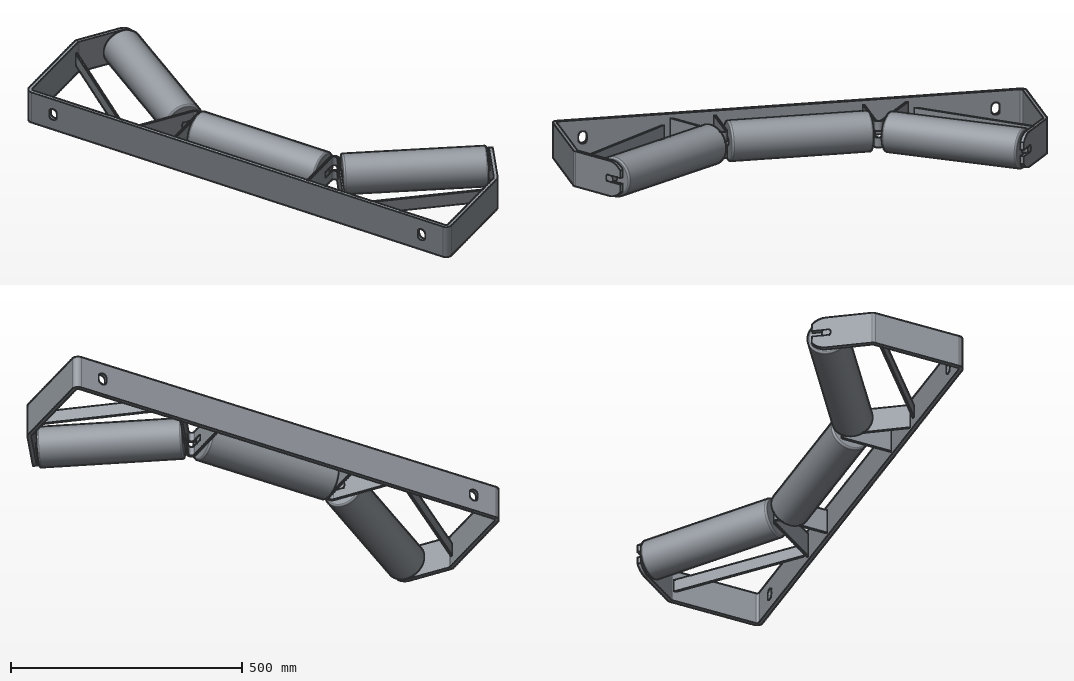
import cadquery as cq
import math

frame_width = 1050.0
bar_height = 80.0
bar_thickness = 8.0
frame_bend_radius = 14.0
shoulder_y = 217.0
bolt_slot_spacing = 916.0
bolt_slot_width = 19.0
bolt_slot_height = 28.0

trough_angle = 35.0
roller_diameter = 89.0
roller_length = 315.0
roller_edge_radius = 4.0
shaft_diameter = 20.0
shaft_flat_width = 15.0
end_gap = 5.0
middle_roller_y = 101.0
shaft_above_shoulder = 104.0
bar_tip_above_shaft = 32.0

bracket_height = 60.0
bracket_thickness = 4.0
bracket_bend_radius = 10.0

brace_thickness = 4.0
brace_height = 30.0
brace_wall_y = 209.0
brace_floor_x = -277.0

half_width = frame_width / 2
inner_half_width = half_width - bar_thickness
tilt = math.radians(trough_angle)
shaft_dir = cq.Vector(math.cos(tilt), -math.sin(tilt))
rise_dir = cq.Vector(math.sin(tilt), math.cos(tilt))
support_distance = roller_length / 2 + end_gap
shoulder = cq.Vector(-half_width, shoulder_y)
wing_end = shoulder + rise_dir * shaft_above_shoulder
wing_center = wing_end + shaft_dir * (bar_thickness + support_distance)
wing_plane = cq.Plane(origin=wing_center, xDir=shaft_dir, normal=(0, 0, 1))
middle_plane = cq.Plane(origin=(0, middle_roller_y, 0), xDir=(1, 0, 0), normal=(0, 0, 1))


def mirrored(body):
    return body.mirror("YZ")


def prism(points, height):
    """Straight-sided plate with the given XY outline, centred on the XY plane."""
    outline = [point.toTuple()[:2] for point in points]
    return cq.Workplane("XY").polyline(outline).close().extrude(height / 2, both=True)


def bent_bar(path, height, thickness, bend_radius):
    """Flat bar whose outer face follows the path; the thickness lies to the right of it."""
    steps = [(end - start).normalized() for start, end in zip(path, path[1:])]
    normals = [cq.Vector(step.y, -step.x) for step in steps]
    inner = [path[0] + normals[0] * thickness]
    for corner, before, after in zip(path[1:], normals, normals[1:]):
        inner.append(corner + (before + after) * (thickness / (1 + before.dot(after))))
    inner.append(path[-1] + normals[-1] * thickness)

    bar = prism(path + inner[::-1], height)
    for outer_corner, inner_corner in zip(path[1:-1], inner[1:-1]):
        outer_edge = cq.NearestToPointSelector(outer_corner.toTuple())
        inner_edge = cq.NearestToPointSelector(inner_corner.toTuple())
        bar = bar.edges(outer_edge).fillet(bend_radius)
        bar = bar.edges(inner_edge).fillet(bend_radius - thickness)
    return bar


def make_shaft(length):
    """Round shaft along X with a flat on its upper and lower side."""
    rod = (
        cq.Workplane("YZ", origin=(-length / 2, 0, 0))
        .circle(shaft_diameter / 2)
        .extrude(length)
    )
    flats = cq.Workplane("XY").box(length, shaft_diameter, shaft_flat_width)
    return rod.intersect(flats)


def shaft_notches(plane):
    """Cutter for the open notches that hold both flatted ends of a roller shaft."""
    length = roller_length + 2 * (end_gap + 2 * bar_thickness)
    depth = roller_diameter / 2
    opening = cq.Workplane("XY").box(length, depth, shaft_flat_width).translate((0, depth / 2, 0))
    return cq.Workplane(make_shaft(length).union(opening).val().moved(plane.location))


def make_roller(plane, left_support, right_support):
    """Roller with its shaft, whose ends finish flush with the far faces of both supports."""
    tube = (
        cq.Workplane("YZ", origin=(-roller_length / 2, 0, 0))
        .circle(roller_diameter / 2)
        .extrude(roller_length)
        .edges()
        .fillet(roller_edge_radius)
    )
    shaft_length = 2 * support_distance + left_support + right_support
    shaft_shift = (right_support - left_support) / 2
    shaft = make_shaft(shaft_length).translate((shaft_shift, 0, 0))
    return cq.Workplane(tube.union(shaft).val().moved(plane.location))


def rounded_tip_waste():
    """Cutter for the bar end beyond a half circle around the left wing shaft."""
    waste = (
        cq.Workplane("XY")
        .box(2 * bar_thickness, bar_height, 2 * bar_height)
        .translate((0, bar_height / 2, 0))
    )
    disc = cq.Workplane("YZ").circle(bar_height / 2).extrude(bar_thickness, both=True)
    bar_middle = wing_end + shaft_dir * (bar_thickness / 2)
    bar_plane = cq.Plane(origin=bar_middle, xDir=shaft_dir, normal=(0, 0, 1))
    return cq.Workplane(waste.cut(disc).val().moved(bar_plane.location))


def make_frame():
    tip = wing_end + rise_dir * bar_tip_above_shaft
    left = [tip, shoulder, cq.Vector(-half_width, 0)]
    right = [cq.Vector(-point.x, point.y) for point in left]
    frame = bent_bar(right + left[::-1], bar_height, bar_thickness, frame_bend_radius)

    for cutter in (shaft_notches(wing_plane), rounded_tip_waste()):
        frame = frame.cut(cutter).cut(mirrored(cutter))

    bolt_slots = (
        cq.Workplane("XZ")
        .pushPoints([(-bolt_slot_spacing / 2, 0), (bolt_slot_spacing / 2, 0)])
        .slot2D(bolt_slot_height, bolt_slot_width, 90)
        .extrude(-bar_thickness)
    )
    return frame.cut(bolt_slots)


def make_bracket():
    """Left bracket: one leg square to the wing shaft, the other upright beside the middle roller."""
    leg_start = wing_center + shaft_dir * support_distance
    upright_x = -support_distance
    apex = leg_start + rise_dir * ((upright_x - leg_start.x) / rise_dir.x)
    tilted_foot = leg_start - rise_dir * (leg_start.y / rise_dir.y)
    upright_foot = cq.Vector(upright_x, 0)
    path = [tilted_foot, apex, upright_foot]
    bracket = bent_bar(path, bracket_height, bracket_thickness, bracket_bend_radius)

    below_floor = cq.Workplane("XY").box(frame_width, 2 * bar_thickness, bar_height)
    return (
        bracket.cut(below_floor)
        .cut(shaft_notches(wing_plane))
        .cut(shaft_notches(middle_plane))
    )


def make_brace():
    """Left brace: its upper face runs from the side wall to the floor, ends cut to fit both."""
    wall_top = cq.Vector(-inner_half_width, brace_wall_y)
    floor_right = cq.Vector(brace_floor_x, bar_thickness)
    slope = math.atan2(wall_top.y - floor_right.y, floor_right.x - wall_top.x)
    wall_bottom = wall_top - cq.Vector(0, brace_thickness / math.cos(slope))
    floor_left = floor_right - cq.Vector(brace_thickness / math.sin(slope), 0)
    return prism([wall_top, floor_right, floor_left, wall_bottom], brace_height)


frame = make_frame()
left_bracket = make_bracket()
left_brace = make_brace()
wing_roller = make_roller(wing_plane, bar_thickness, bracket_thickness)
middle_roller = make_roller(middle_plane, bracket_thickness, bracket_thickness)

paired_bodies = []
for left_body in (left_bracket, left_brace, wing_roller):
    paired_bodies += [left_body.val(), mirrored(left_body).val()]

result = cq.Compound.makeCompound([frame.val(), middle_roller.val(), *paired_bodies])